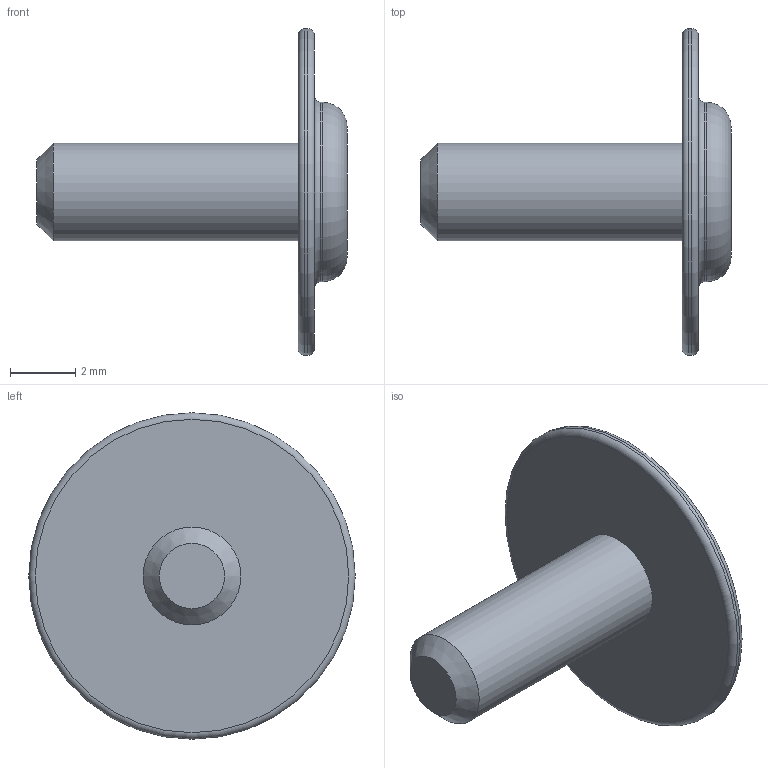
import cadquery as cq

shank_length = 8.0
shank_diameter = 3.0
tip_chamfer = 0.5

flange_diameter = 10.0
flange_thickness = 0.5
flange_edge_radius = 0.2

head_diameter = 5.5
head_height = 1.0
head_edge_radius = 0.75
head_root_radius = 0.2


def disc(start_x, length, diameter):
    """Solid cylinder about the X axis, running from start_x toward +X."""
    return cq.Workplane("YZ", origin=(start_x, 0, 0)).circle(diameter / 2).extrude(length)


def make_shank():
    """Plain round pin with a chamfered tip."""
    return disc(-shank_length, shank_length, shank_diameter).faces("<X").chamfer(tip_chamfer)


def make_flange():
    """Flat disc with both rim edges rounded."""
    return disc(0, flange_thickness, flange_diameter).edges().fillet(flange_edge_radius)


def make_head():
    """Round head with a rounded crown edge."""
    head = disc(flange_thickness, head_height, head_diameter)
    return head.faces(">X").edges().fillet(head_edge_radius)


def round_head_root(body):
    """Blend the corner where the head side meets the flange."""
    reach = head_diameter / 2 + head_root_radius / 2
    root_zone = cq.selectors.BoxSelector(
        (flange_thickness - head_root_radius / 2, -reach, -reach),
        (flange_thickness + head_root_radius / 2, reach, reach),
        boundingbox=True,
    )
    return body.edges(root_zone).edges("%CIRCLE").fillet(head_root_radius)


body = make_flange().union(make_head()).union(make_shank())
result = round_head_root(body)